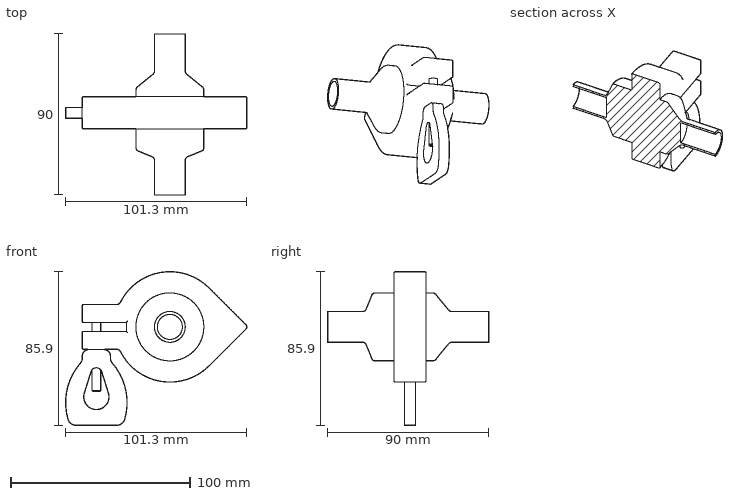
import cadquery as cq
import math

clamp_radius = 30.9
clamp_thickness = 18.0
clamp_edge_radius = 0.9
tip_radius = 1.5
arm_end_x = -49.0
arm_half_height = 12.6
arm_root_radius = 2.0
slot_half_height = 2.4
slot_end_x = -24.3

housing_radius = 18.98
nozzle_radius = 8.6
bore_radius = 7.0
cone_blend_radius = 2.0
front_nozzle_y = -46.0
front_cone_small_y = -25.1
front_cone_large_y = -20.9
back_cone_large_y = 13.8
back_cone_small_y = 22.3
back_nozzle_y = 44.0

screw_x = -41.0
screw_radius = 2.48
screw_bottom_z = -35.9
screw_chamfer = 0.5

lever_thickness = 6.2
lever_bottom_z = -55.0
lever_half_width = 17.2
lever_side_radius = 33.4
lever_widest_z = -42.2
neck_half_width = 7.95
neck_corner_radius = 3.8
neck_root_radius = 3.7
lever_corner_radius = 4.9
window_top_radius = 3.0
window_top_z = -25.8
window_bottom_radius = 7.0
window_bottom_z = -39.1


def extrude_centered(outline, thickness):
    """Extrude an XZ outline equally to both sides of the XZ plane."""
    return outline.extrude(thickness / 2, both=True)


def make_clamp():
    tangent = clamp_radius * math.sqrt(0.5)
    apex_x = clamp_radius * math.sqrt(2)
    arm_root_x = -math.sqrt(clamp_radius**2 - arm_half_height**2)
    outline = (
        cq.Workplane("XZ")
        .moveTo(arm_end_x, arm_half_height)
        .lineTo(arm_root_x, arm_half_height)
        .threePointArc((0, clamp_radius), (tangent, tangent))
        .lineTo(apex_x, 0)
        .lineTo(tangent, -tangent)
        .threePointArc((0, -clamp_radius), (arm_root_x, -arm_half_height))
        .lineTo(arm_end_x, -arm_half_height)
        .lineTo(arm_end_x, -slot_half_height)
        .lineTo(slot_end_x, -slot_half_height)
        .lineTo(slot_end_x, slot_half_height)
        .lineTo(arm_end_x, slot_half_height)
        .close()
    )
    clamp = extrude_centered(outline, clamp_thickness)
    for side in (1, -1):
        root = cq.selectors.NearestToPointSelector((arm_root_x, 0, side * arm_half_height))
        clamp = clamp.edges(root).fillet(arm_root_radius)
    clamp = clamp.edges(cq.selectors.NearestToPointSelector((apex_x, 0, 0))).fillet(tip_radius)
    clamp = clamp.faces("<X").edges("|Y").fillet(clamp_edge_radius)
    return clamp.faces("<Y or >Y").edges().fillet(clamp_edge_radius)


def make_housing():
    profile = [
        (0, front_nozzle_y),
        (nozzle_radius, front_nozzle_y),
        (nozzle_radius, front_cone_small_y),
        (housing_radius, front_cone_large_y),
        (housing_radius, back_cone_large_y),
        (nozzle_radius, back_cone_small_y),
        (nozzle_radius, back_nozzle_y),
        (0, back_nozzle_y),
    ]
    housing = cq.Workplane("XY").polyline(profile).close().revolve(360, (0, 0, 0), (0, 1, 0))
    cone_ends = (front_cone_small_y, front_cone_large_y, back_cone_large_y, back_cone_small_y)
    margin = 0.1
    for y in cone_ends:
        reach = housing_radius + 1
        ring = cq.selectors.BoxSelector((-reach, y - margin, -reach), (reach, y + margin, reach))
        housing = housing.edges(ring).fillet(cone_blend_radius)
    return housing


def make_bores():
    """Blind bores, each as deep as its nozzle is long."""
    front = cq.Workplane("XZ", origin=(0, front_nozzle_y, 0)).circle(bore_radius)
    back = cq.Workplane("XZ", origin=(0, back_nozzle_y, 0)).circle(bore_radius)
    front_bore = front.extrude(front_nozzle_y - front_cone_small_y)
    back_bore = back.extrude(back_nozzle_y - back_cone_small_y)
    return front_bore.union(back_bore)


def make_screw():
    screw = (
        cq.Workplane("XY", origin=(screw_x, 0, screw_bottom_z))
        .circle(screw_radius)
        .extrude((slot_half_height + arm_half_height) / 2 - screw_bottom_z)
    )
    return screw.faces("<Z").chamfer(screw_chamfer)


def make_window():
    """Teardrop opening: two arcs joined by their common tangents."""
    lean = math.asin((window_bottom_radius - window_top_radius) / (window_top_z - window_bottom_z))
    top_x = window_top_radius * math.cos(lean)
    top_z = window_top_z + window_top_radius * math.sin(lean)
    bottom_x = window_bottom_radius * math.cos(lean)
    bottom_z = window_bottom_z + window_bottom_radius * math.sin(lean)
    outline = (
        cq.Workplane("XZ", origin=(screw_x, 0, 0))
        .moveTo(-top_x, top_z)
        .threePointArc((0, window_top_z + window_top_radius), (top_x, top_z))
        .lineTo(bottom_x, bottom_z)
        .threePointArc((0, window_bottom_z - window_bottom_radius), (-bottom_x, bottom_z))
        .close()
    )
    return extrude_centered(outline, lever_thickness)


def make_lever():
    top_z = -arm_half_height
    arc_center_x = lever_half_width - lever_side_radius
    root_z = lever_widest_z + math.sqrt(lever_side_radius**2 - (neck_half_width - arc_center_x) ** 2)
    drop = lever_widest_z - lever_bottom_z
    bottom_half_width = arc_center_x + math.sqrt(lever_side_radius**2 - drop**2)
    outline = (
        cq.Workplane("XZ", origin=(screw_x, 0, 0))
        .moveTo(-neck_half_width, top_z)
        .lineTo(neck_half_width, top_z)
        .lineTo(neck_half_width, root_z)
        .threePointArc((lever_half_width, lever_widest_z), (bottom_half_width, lever_bottom_z))
        .lineTo(-bottom_half_width, lever_bottom_z)
        .threePointArc((-lever_half_width, lever_widest_z), (-neck_half_width, root_z))
        .close()
    )
    lever = extrude_centered(outline, lever_thickness)
    corners = (
        (neck_half_width, top_z, neck_corner_radius),
        (neck_half_width, root_z, neck_root_radius),
        (bottom_half_width, lever_bottom_z, lever_corner_radius),
    )
    for x, z, radius in corners:
        for side in (1, -1):
            corner = cq.selectors.NearestToPointSelector((screw_x + side * x, 0, z))
            lever = lever.edges("|Y").edges(corner).fillet(radius)
    return lever.cut(make_window())


result = make_clamp().union(make_housing()).cut(make_bores()).union(make_lever()).union(make_screw())